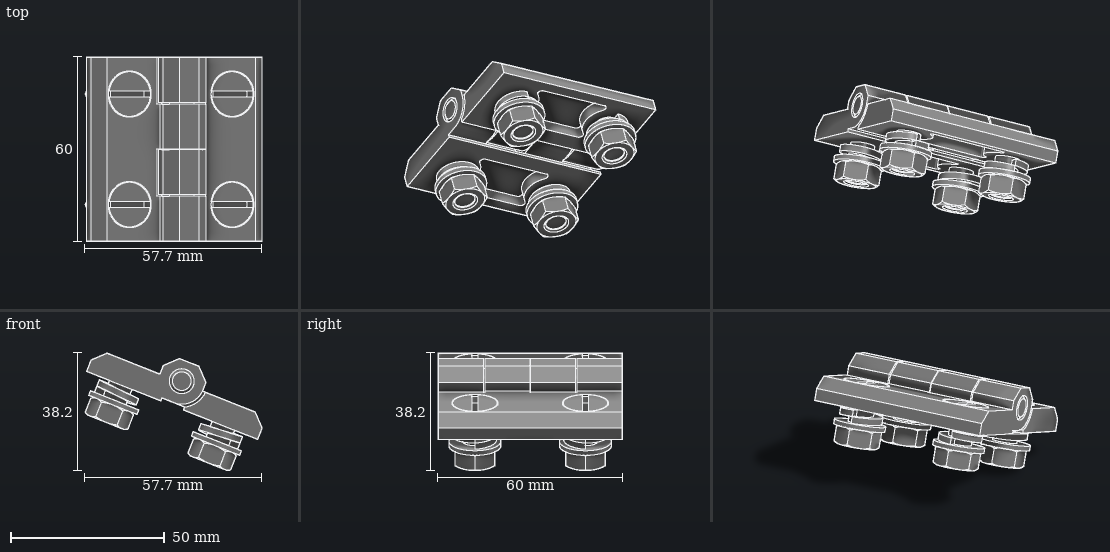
import cadquery as cq
import math


TILT = 21.7
HINGE_LENGTH = 60.0

LEAF_REACH = 30.0
LEAF_TOP = -0.5
LEAF_THICKNESS = 8.05
LEAF_BOTTOM = LEAF_TOP - LEAF_THICKNESS
LEAF_BEVEL = 4.0
LEAF_INNER_EDGE = 3.95

KNUCKLE_RADIUS = 7.5
KNUCKLE_TOP = 6.6
KNUCKLE_TOP_HALF_WIDTH = 3.4
KNUCKLE_SHOULDER = 2.5
KNUCKLE_GAP = 0.5
MIDDLE_GAP = 0.2
KNUCKLE_COUNT = 4
KNUCKLE_PITCH = HINGE_LENGTH / KNUCKLE_COUNT
RELIEF_RADIUS = 8.5

PIN_DIAMETER = 8.1
PIN_CHAMFER = 1.0

SCREW_X = 18.0
SCREW_Y = 18.0
SHANK_DIAMETER = 8.0
HEAD_DIAMETER = 15.0
HEAD_RIM = 0.7
HEAD_CLEARANCE = 0.2
SLOT_WIDTH = 2.0
SLOT_DEPTH = 2.3

SPRING_DIAMETER = 14.2
SPRING_THICKNESS = 2.15
SPRING_RISE = 2.2
SPRING_OVERLAP = 0.2
SPRING_TOP = -9.5
WASHER_DIAMETER = 17.0
WASHER_THICKNESS = 1.6
WASHER_TOP = SPRING_TOP - SPRING_THICKNESS - SPRING_RISE
NUT_TOP = WASHER_TOP - WASHER_THICKNESS
NUT_CORNERS = 15.0
NUT_HEIGHT = 6.1
NUT_BOTTOM = NUT_TOP - NUT_HEIGHT
NUT_FLATS = NUT_CORNERS * math.cos(math.pi / 6)
NUT_CHAMFER_ANGLE = math.radians(30)
BORE_DIAMETER = 6.8
BORE_MOUTH_DIAMETER = 8.2
BORE_MOUTH_DEPTH = 0.5
BORE_DEPTH = 0.85

POCKET_DEPTH = 3.95
POCKET_HALF_WIDTH = 8.3
BOSS_RADIUS = 8.0
POCKET_FILLET = 1.25


def along_y(sketch, y_from, y_to):
    """Extrude an XZ outline between two Y positions."""
    return sketch.extrude(y_from - y_to).translate((0, y_from, 0))


def cylinder(diameter, bottom, top):
    return cq.Workplane("XY").workplane(offset=bottom).circle(diameter / 2).extrude(top - bottom)


def leaf_plate():
    outline = (
        cq.Workplane("XZ")
        .moveTo(-LEAF_REACH, LEAF_BOTTOM)
        .lineTo(-LEAF_REACH, LEAF_TOP - LEAF_BEVEL)
        .lineTo(-LEAF_REACH + LEAF_BEVEL, LEAF_TOP)
        .lineTo(0, LEAF_TOP)
        .lineTo(0, -KNUCKLE_RADIUS)
        .lineTo(-LEAF_INNER_EDGE, -KNUCKLE_RADIUS)
        .lineTo(-LEAF_INNER_EDGE, LEAF_BOTTOM)
        .close()
    )
    return along_y(outline, -HINGE_LENGTH / 2, HINGE_LENGTH / 2)


def knuckle(y_from, y_to):
    arc_middle = KNUCKLE_RADIUS * math.sqrt(0.5)
    outline = (
        cq.Workplane("XZ")
        .moveTo(0, -KNUCKLE_RADIUS)
        .lineTo(-KNUCKLE_RADIUS, -KNUCKLE_RADIUS)
        .lineTo(-KNUCKLE_RADIUS, KNUCKLE_SHOULDER)
        .lineTo(-KNUCKLE_TOP_HALF_WIDTH, KNUCKLE_TOP)
        .lineTo(KNUCKLE_TOP_HALF_WIDTH, KNUCKLE_TOP)
        .lineTo(KNUCKLE_RADIUS, KNUCKLE_SHOULDER)
        .lineTo(KNUCKLE_RADIUS, 0)
        .threePointArc((arc_middle, -arc_middle), (0, -KNUCKLE_RADIUS))
        .close()
    )
    return along_y(outline, y_from, y_to)


def knuckle_relief(y_from, y_to):
    return along_y(cq.Workplane("XZ").circle(RELIEF_RADIUS), y_from, y_to)


def underside_pocket():
    """Pocket whose ends wrap around the screw bosses, with rounded corners."""
    fillet_x = POCKET_HALF_WIDTH - POCKET_FILLET
    centre_distance = BOSS_RADIUS + POCKET_FILLET
    fillet_angle = math.acos(fillet_x / centre_distance)
    fillet_y = SCREW_Y - centre_distance * math.sin(fillet_angle)
    tangent_x = BOSS_RADIUS * math.cos(fillet_angle)
    tangent_y = SCREW_Y - BOSS_RADIUS * math.sin(fillet_angle)
    corner_angle = (math.pi - fillet_angle) / 2
    corner_x = fillet_x + POCKET_FILLET * math.cos(corner_angle)
    corner_y = fillet_y + POCKET_FILLET * math.sin(corner_angle)
    boss_y = SCREW_Y - BOSS_RADIUS
    outline = (
        cq.Workplane("XY")
        .moveTo(POCKET_HALF_WIDTH, -fillet_y)
        .lineTo(POCKET_HALF_WIDTH, fillet_y)
        .threePointArc((corner_x, corner_y), (tangent_x, tangent_y))
        .threePointArc((0, boss_y), (-tangent_x, tangent_y))
        .threePointArc((-corner_x, corner_y), (-POCKET_HALF_WIDTH, fillet_y))
        .lineTo(-POCKET_HALF_WIDTH, -fillet_y)
        .threePointArc((-corner_x, -corner_y), (-tangent_x, -tangent_y))
        .threePointArc((0, -boss_y), (tangent_x, -tangent_y))
        .threePointArc((corner_x, -corner_y), (POCKET_HALF_WIDTH, -fillet_y))
        .close()
    )
    return outline.extrude(POCKET_DEPTH).translate((-SCREW_X, 0, LEAF_BOTTOM))


def head_cuts():
    """Ring groove around a screw head and its driver slot, about the screw axis."""
    rim_bottom = LEAF_TOP - HEAD_RIM
    slot_bottom = LEAF_TOP - SLOT_DEPTH
    rim_radius = HEAD_DIAMETER / 2
    floor_radius = rim_radius - (SLOT_DEPTH - HEAD_RIM)
    inner_rim = cylinder(HEAD_DIAMETER - 2 * HEAD_CLEARANCE, rim_bottom, LEAF_TOP)
    groove = cylinder(HEAD_DIAMETER, rim_bottom, LEAF_TOP).cut(inner_rim)
    head = (
        cq.Workplane("XZ")
        .moveTo(0, LEAF_TOP)
        .lineTo(rim_radius, LEAF_TOP)
        .lineTo(rim_radius, rim_bottom)
        .lineTo(floor_radius, slot_bottom)
        .lineTo(0, slot_bottom)
        .close()
        .revolve()
    )
    strip = (
        cq.Workplane("XY")
        .workplane(offset=slot_bottom)
        .rect(HEAD_DIAMETER, SLOT_WIDTH)
        .extrude(SLOT_DEPTH)
    )
    return groove.union(head.intersect(strip))


def spring_washer():
    """Single helical turn, split on the -X side, descending through -Y."""
    inner_radius = SHANK_DIAMETER / 2 - SPRING_OVERLAP
    path = cq.Wire.makeHelix(SPRING_RISE, SPRING_RISE, SPRING_DIAMETER / 2)
    width = SPRING_DIAMETER / 2 - inner_radius
    section = cq.Workplane("XZ").moveTo(inner_radius, 0).rect(width, SPRING_THICKNESS, centered=False)
    coil = section.sweep(cq.Workplane(path), isFrenet=True)
    coil = coil.mirror("XY").rotate((0, 0, 0), (0, 0, 1), 180)
    return coil.translate((0, 0, SPRING_TOP))


def nut():
    corner_drop = (NUT_CORNERS - NUT_FLATS) / 2 * math.tan(NUT_CHAMFER_ANGLE)
    prism = cq.Workplane("XY").workplane(offset=NUT_BOTTOM).polygon(6, NUT_CORNERS).extrude(NUT_HEIGHT)
    envelope = (
        cq.Workplane("XZ")
        .moveTo(0, NUT_BOTTOM)
        .lineTo(NUT_FLATS / 2, NUT_BOTTOM)
        .lineTo(NUT_CORNERS / 2, NUT_BOTTOM + corner_drop)
        .lineTo(NUT_CORNERS / 2, NUT_TOP - corner_drop)
        .lineTo(NUT_FLATS / 2, NUT_TOP)
        .lineTo(0, NUT_TOP)
        .close()
        .revolve()
    )
    bore = (
        cq.Workplane("XZ")
        .moveTo(0, NUT_BOTTOM)
        .lineTo(BORE_MOUTH_DIAMETER / 2, NUT_BOTTOM)
        .lineTo(BORE_DIAMETER / 2, NUT_BOTTOM + BORE_MOUTH_DEPTH)
        .lineTo(BORE_DIAMETER / 2, NUT_BOTTOM + BORE_DEPTH)
        .lineTo(0, NUT_BOTTOM + BORE_DEPTH)
        .close()
        .revolve()
    )
    return prism.intersect(envelope).cut(bore)


def fastener():
    """Screw shank with its spring washer, flat washer and nut, about the screw axis."""
    shank = cylinder(SHANK_DIAMETER, WASHER_TOP, LEAF_BOTTOM + POCKET_DEPTH)
    washer = cylinder(WASHER_DIAMETER, NUT_TOP, WASHER_TOP)
    return shank.union(washer).union(nut()).union(spring_washer())


def leaf():
    end = HINGE_LENGTH / 2
    outer_knuckle_end = -KNUCKLE_PITCH - KNUCKLE_GAP / 2
    inner_knuckle_end = KNUCKLE_PITCH - KNUCKLE_GAP / 2
    body = leaf_plate()
    for y_from, y_to in ((outer_knuckle_end, MIDDLE_GAP / 2), (inner_knuckle_end, end)):
        body = body.cut(knuckle_relief(y_from, y_to))
    for y_from, y_to in ((-end, outer_knuckle_end), (MIDDLE_GAP / 2, inner_knuckle_end)):
        body = body.union(knuckle(y_from, y_to))
    body = body.cut(underside_pocket())
    near_cuts = head_cuts().translate((-SCREW_X, -SCREW_Y, 0))
    near_fastener = fastener().translate((-SCREW_X, -SCREW_Y, 0))
    body = body.cut(near_cuts).cut(near_cuts.mirror("XZ"))
    return body.union(near_fastener).union(near_fastener.mirror("XZ"))


def pin():
    return cq.Workplane("XZ").circle(PIN_DIAMETER / 2).extrude(HINGE_LENGTH / 2, both=True)


def pin_end_groove():
    """Ring left between the bore wall and the chamfer of the pin at its -Y end."""
    radius = PIN_DIAMETER / 2
    y_end = -HINGE_LENGTH / 2
    return (
        cq.Workplane("XY")
        .moveTo(radius, y_end)
        .lineTo(radius, y_end + PIN_CHAMFER)
        .lineTo(radius - PIN_CHAMFER, y_end)
        .close()
        .revolve(360, (0, 0, 0), (0, 1, 0))
    )


first_leaf = leaf()
second_leaf = first_leaf.rotate((0, 0, 0), (0, 0, 1), 180)
hinge = first_leaf.union(second_leaf).union(pin())
groove = pin_end_groove()
hinge = hinge.cut(groove).cut(groove.mirror("XZ"))
result = hinge.rotate((0, 0, 0), (0, 1, 0), TILT)